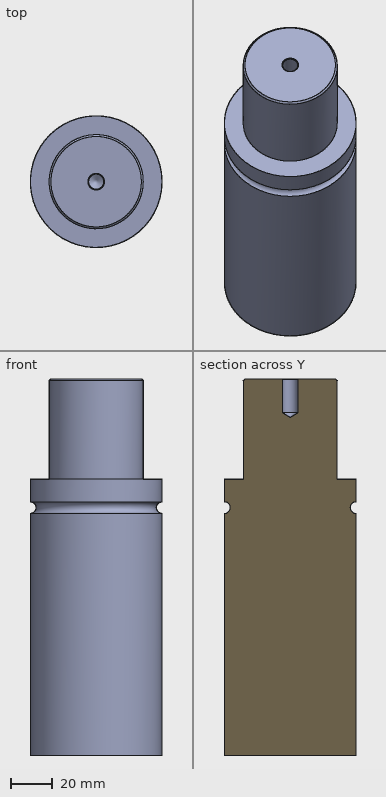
import cadquery as cq
import math

total_height = 180.0
body_radius = 31.5
stem_radius = 22.5
stem_chamfer_width = 0.9
stem_chamfer_height = 0.7

shoulder_height = 132.1
groove_height = 118.5
groove_radius = 2.7

hole_radius = 3.6
hole_chamfer = 0.4
hole_depth = 16.2
drill_point_angle = 118.0


def make_turned_body():
    """Revolve the half outline: plain body, groove, collar and stem."""
    return (
        cq.Workplane("XZ")
        .lineTo(body_radius, 0)
        .lineTo(body_radius, groove_height - groove_radius)
        .threePointArc(
            (body_radius - groove_radius, groove_height),
            (body_radius, groove_height + groove_radius),
        )
        .lineTo(body_radius, shoulder_height)
        .lineTo(stem_radius, shoulder_height)
        .lineTo(stem_radius, total_height - stem_chamfer_height)
        .lineTo(stem_radius - stem_chamfer_width, total_height)
        .lineTo(0, total_height)
        .close()
        .revolve(360, (0, 0, 0), (0, 1, 0))
    )


def make_drilled_hole():
    """Return the volume removed by the drill, with its point and the rim chamfer."""
    point_length = hole_radius / math.tan(math.radians(drill_point_angle / 2))
    hole_floor = total_height - hole_depth
    return (
        cq.Workplane("XZ")
        .moveTo(0, total_height)
        .lineTo(hole_radius + hole_chamfer, total_height)
        .lineTo(hole_radius, total_height - hole_chamfer)
        .lineTo(hole_radius, hole_floor)
        .lineTo(0, hole_floor - point_length)
        .close()
        .revolve(360, (0, 0, 0), (0, 1, 0))
    )


result = make_turned_body().cut(make_drilled_hole())